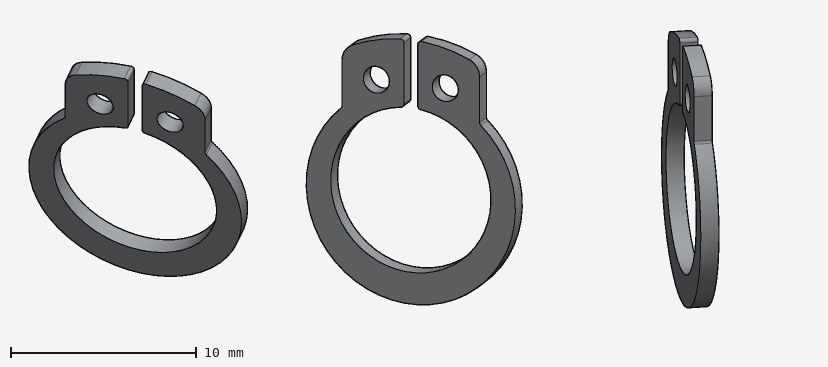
import cadquery as cq
import math

thickness = 1.0
bore_radius = 4.65
rim_radius = 6.08
rim_offset = 0.37

lug_half_width = 4.0
lug_tip_radius = 8.5
gap_width = 0.8
hole_diameter = 1.5
hole_spacing = 4.0
hole_height = 6.0

shoulder_radius = 1.0
gap_corner_radius = 0.2
neck_radius = 0.2


def disc(radius, center_z=0.0):
    """Flat disc lying in the XZ plane, centred through its thickness on Y = 0."""
    return (
        cq.Workplane("XZ")
        .center(0, center_z)
        .circle(radius)
        .extrude(thickness / 2, both=True)
    )


def upright_block(width, height):
    """Block of the given width, standing on Z = 0 and centred on X = 0."""
    return cq.Workplane("XY").box(width, thickness, height, centered=(True, True, False))


def height_on_circle(radius, x, center_z=0.0):
    """Upper Z of a circle at a given X."""
    return center_z + math.sqrt(radius**2 - x**2)


def round_corner_pair(body, x, z, radius):
    """Round the edges running along Y through (x, z) and its mirror image (-x, z)."""
    for side in (-1, 1):
        edge = body.edges("|Y").edges(cq.NearestToPointSelector((side * x, 0, z)))
        body = edge.fillet(radius)
    return body


def make_blank():
    """Eccentric ring with a round-topped lug block, split by the gap."""
    lugs = upright_block(2 * lug_half_width, lug_tip_radius).intersect(disc(lug_tip_radius))
    body = disc(rim_radius, -rim_offset).union(lugs)
    body = body.cut(disc(bore_radius))
    return body.cut(upright_block(gap_width, lug_tip_radius))


def round_corners(body):
    """Round the lug shoulders, the necks at the rim and the corners along the gap."""
    gap_x = gap_width / 2
    shoulder_z = height_on_circle(lug_tip_radius, lug_half_width)
    neck_z = height_on_circle(rim_radius, lug_half_width, -rim_offset)
    gap_top_z = height_on_circle(lug_tip_radius, gap_x)
    gap_bottom_z = height_on_circle(bore_radius, gap_x)

    body = round_corner_pair(body, lug_half_width, shoulder_z, shoulder_radius)
    body = round_corner_pair(body, lug_half_width, neck_z, neck_radius)
    body = round_corner_pair(body, gap_x, gap_top_z, gap_corner_radius)
    return round_corner_pair(body, gap_x, gap_bottom_z, gap_corner_radius)


def drill_plier_holes(body):
    """Drill one plier hole through each lug."""
    holes = (
        cq.Workplane("XZ")
        .pushPoints([(side * hole_spacing / 2, hole_height) for side in (-1, 1)])
        .circle(hole_diameter / 2)
        .extrude(thickness, both=True)
    )
    return body.cut(holes)


result = drill_plier_holes(round_corners(make_blank()))